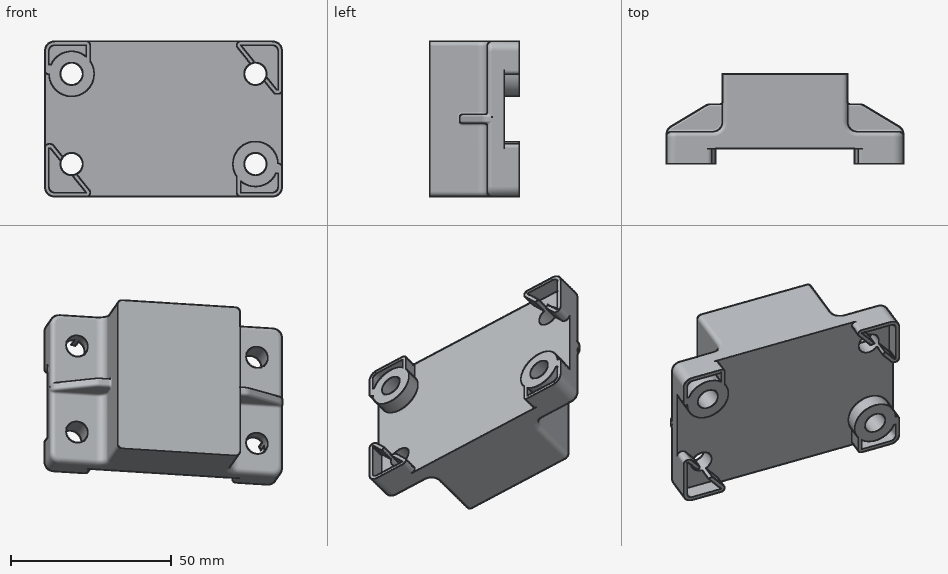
import cadquery as cq

LENGTH = 73.7
HEIGHT = 48.3
DEPTH = 27.9

PAD_DEPTH = 4.7
FLANGE_BACK = 10.0
BODY_WIDTH = 38.9
CORNER_RADIUS = 3.0
EDGE_RADIUS = 1.55

HOLE_DIAMETER = 6.85
HOLE_SPACING_X = 57.1
HOLE_SPACING_Z = 28.0
BOSS_RADIUS = 7.0

WALL = 1.25
POCKET_LENGTH = 11.6
TRIANGLE_POCKET_HEIGHT = 13.85
TRIANGLE_TIP_WIDTH = 0.45
BOX_HEIGHT = 7.8
BOX_POCKET_HEIGHT = 6.05
POCKET_TIP_RADIUS = 0.2

RIB_WIDTH = 2.8
RIB_TOP = 18.6
RIB_FLAT = 4.4
RIB_OUTER = 10.75
RIB_BEND_RADIUS = 2.95
RIB_EDGE_RADIUS = 0.8
RIB_ROOT_RADIUS = 0.75

HALF_LENGTH = LENGTH / 2
HALF_HEIGHT = HEIGHT / 2
HALF_BODY = BODY_WIDTH / 2
HOLE_X = HOLE_SPACING_X / 2
HOLE_Z = HOLE_SPACING_Z / 2
POCKET_X = HALF_LENGTH - WALL
POCKET_Z = HALF_HEIGHT - WALL
POCKET_RADIUS = CORNER_RADIUS - WALL
TOLERANCE = 0.01


def front_plane(y):
    """Plane at depth y with axes X and Z; positive extrusions run toward -Y."""
    return cq.Workplane("XZ", origin=(0, y, 0))


def make_body():
    """Stepped block with one rounded rim over the flange, the blend and the block."""
    flange = front_plane(PAD_DEPTH).rect(LENGTH, HEIGHT).extrude(PAD_DEPTH - FLANGE_BACK)
    block = front_plane(PAD_DEPTH).rect(BODY_WIDTH, HEIGHT).extrude(PAD_DEPTH - DEPTH)
    flange = flange.edges("|Y").fillet(CORNER_RADIUS)
    body = flange.union(block)
    inner_corners = cq.selectors.BoxSelector(
        (-HALF_BODY - TOLERANCE, FLANGE_BACK - TOLERANCE, -HEIGHT),
        (HALF_BODY + TOLERANCE, FLANGE_BACK + TOLERANCE, HEIGHT),
    )
    body = body.edges("|Z").edges(inner_corners).fillet(CORNER_RADIUS)
    return body.edges("|Y").edges(">Y").fillet(EDGE_RADIUS)


def make_rib():
    """Sloped rib on the -X flange, with rounded bends and edges."""
    wall_x = -HALF_BODY
    buried_x = wall_x + EDGE_RADIUS
    rib = (
        cq.Workplane("XY", origin=(0, 0, -RIB_WIDTH / 2))
        .moveTo(-HALF_LENGTH, PAD_DEPTH)
        .lineTo(-HALF_LENGTH, RIB_OUTER)
        .lineTo(wall_x - RIB_FLAT, RIB_TOP)
        .lineTo(buried_x, RIB_TOP)
        .lineTo(buried_x, PAD_DEPTH)
        .close()
        .extrude(RIB_WIDTH)
    )
    bends = cq.selectors.BoxSelector(
        (-HALF_LENGTH - TOLERANCE, RIB_OUTER - TOLERANCE, -RIB_WIDTH),
        (wall_x - RIB_FLAT + TOLERANCE, RIB_TOP + TOLERANCE, RIB_WIDTH),
    )
    rib = rib.edges("|Z").edges(bends).fillet(RIB_BEND_RADIUS)
    return rib.faces("<X").edges("|Y").fillet(RIB_EDGE_RADIUS)


def add_ribs(body):
    """Join a rib to each end of the body and blend its foot into shoulder and block."""
    rib = make_rib()
    body = body.union(rib).union(rib.mirror("YZ"))
    shoulder_joints = cq.selectors.BoxSelector(
        (-HALF_LENGTH, FLANGE_BACK - TOLERANCE, -RIB_WIDTH),
        (HALF_LENGTH, FLANGE_BACK + TOLERANCE, RIB_WIDTH),
    )
    return body.edges("|X").edges(shoulder_joints).fillet(RIB_ROOT_RADIUS)


def pocket_box(height):
    """Rectangular pocket outline in the -X, +Z corner."""
    return (
        front_plane(PAD_DEPTH)
        .moveTo(-POCKET_X, POCKET_Z)
        .hLine(POCKET_LENGTH)
        .vLine(-height)
        .hLine(-POCKET_LENGTH)
        .close()
    )


def pocket_triangle():
    """Triangular pocket outline in the -X, -Z corner."""
    return (
        front_plane(PAD_DEPTH)
        .moveTo(-POCKET_X, -POCKET_Z)
        .hLine(POCKET_LENGTH)
        .lineTo(TRIANGLE_TIP_WIDTH - POCKET_X, TRIANGLE_POCKET_HEIGHT - POCKET_Z)
        .hLine(-TRIANGLE_TIP_WIDTH)
        .close()
    )


def round_corner(pad, x, z, radius):
    """Round the pad edge that stands at (x, z)."""
    at_corner = cq.selectors.BoxSelector(
        (x - TOLERANCE, -TOLERANCE, z - TOLERANCE),
        (x + TOLERANCE, PAD_DEPTH + TOLERANCE, z + TOLERANCE),
    )
    return pad.edges(at_corner).edges("|Y").fillet(radius)


def make_pad_limits():
    """Rounded flange outline that trims the pads flush at the outer corners."""
    limits = front_plane(PAD_DEPTH).rect(LENGTH, HEIGHT).extrude(PAD_DEPTH)
    return limits.edges("|Y").fillet(CORNER_RADIUS)


def make_boss_pad():
    """Round boss joined to a thin-walled box in the -X, +Z corner."""
    boss = front_plane(PAD_DEPTH).center(-HOLE_X, HOLE_Z).circle(BOSS_RADIUS).extrude(PAD_DEPTH)
    shell = pocket_box(BOX_HEIGHT).offset2D(WALL).extrude(PAD_DEPTH)
    shell = shell.intersect(make_pad_limits())
    pocket = pocket_box(BOX_POCKET_HEIGHT).extrude(PAD_DEPTH)
    pocket = round_corner(pocket, -POCKET_X, POCKET_Z, POCKET_RADIUS).cut(boss)
    pocket = pocket.edges("|Y").edges("<Z").fillet(POCKET_TIP_RADIUS)
    return shell.cut(pocket).union(boss)


def make_triangle_pad():
    """Thin-walled triangle in the -X, -Z corner."""
    shell = pocket_triangle().offset2D(WALL).extrude(PAD_DEPTH)
    shell = shell.intersect(make_pad_limits())
    pocket = pocket_triangle().extrude(PAD_DEPTH)
    pocket = round_corner(pocket, -POCKET_X, -POCKET_Z, POCKET_RADIUS)
    return shell.cut(pocket)


result = add_ribs(make_body())

for pad in (make_boss_pad(), make_triangle_pad()):
    opposite_pad = pad.rotate((0, 0, 0), (0, 1, 0), 180)
    result = result.union(pad).union(opposite_pad)

holes = (
    front_plane(0)
    .rect(HOLE_SPACING_X, HOLE_SPACING_Z, forConstruction=True)
    .vertices()
    .circle(HOLE_DIAMETER / 2)
    .extrude(-DEPTH)
)
result = result.cut(holes)